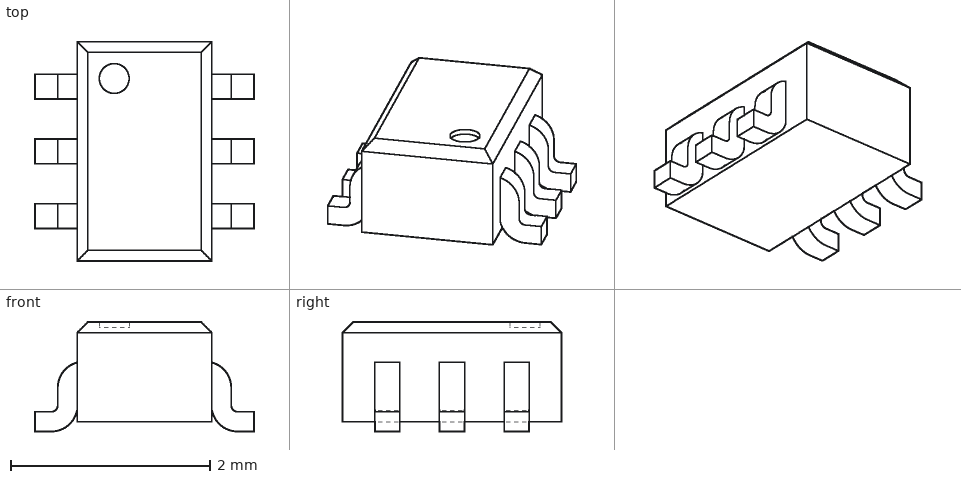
import cadquery as cq
import math

span = 2.2
body_length = 2.2
body_width = 1.35
body_top = 1.1
body_bottom = 0.1
edge_bevel = 0.108

lead_thickness = 0.2
lead_width = 0.25
lead_pitch = 0.65
leads_per_side = 3
foot_length = 0.165
inner_radius = 0.064
outer_radius = inner_radius + lead_thickness
shoulder_start = 0.44

marker_diameter = 0.3
marker_x = -0.304
marker_y = 0.73
marker_depth = 0.05


def make_body():
    height = body_top - body_bottom
    block = cq.Workplane("XY").box(body_width, body_length, height, centered=(True, True, False))
    return block.translate((0, 0, body_bottom)).faces(">Z").chamfer(edge_bevel)


def make_lead():
    """One lead on the +X side, centred on Y = 0, with its upper end buried in the body."""
    tip_x = span / 2
    bend_x = tip_x - foot_length
    shank_outer_x = bend_x - inner_radius
    shank_inner_x = bend_x - outer_radius
    shoulder_x = shank_outer_x - outer_radius
    shoulder_top = shoulder_start + outer_radius
    diagonal = math.sqrt(0.5)
    profile = (
        cq.Workplane("XZ")
        .moveTo(tip_x, 0)
        .lineTo(tip_x, lead_thickness)
        .lineTo(bend_x, lead_thickness)
        .threePointArc(
            (bend_x - inner_radius * diagonal, outer_radius - inner_radius * diagonal),
            (shank_outer_x, outer_radius),
        )
        .lineTo(shank_outer_x, shoulder_start)
        .threePointArc(
            (shoulder_x + outer_radius * diagonal, shoulder_start + outer_radius * diagonal),
            (shoulder_x, shoulder_top),
        )
        .lineTo(shoulder_x, outer_radius)
        .lineTo(shank_inner_x, outer_radius)
        .threePointArc(
            (bend_x - outer_radius * diagonal, outer_radius - outer_radius * diagonal),
            (bend_x, 0),
        )
        .close()
    )
    return profile.extrude(lead_width / 2, both=True)


def cut_marker(part):
    marker = (
        cq.Workplane("XY")
        .workplane(offset=body_top - marker_depth)
        .center(marker_x, marker_y)
        .circle(marker_diameter / 2)
        .extrude(marker_depth)
    )
    return part.cut(marker)


result = cut_marker(make_body())
right_lead = make_lead()
left_lead = right_lead.mirror("YZ")
for index in range(leads_per_side):
    lead_y = (index - (leads_per_side - 1) / 2) * lead_pitch
    result = result.union(right_lead.translate((0, lead_y, 0)))
    result = result.union(left_lead.translate((0, lead_y, 0)))